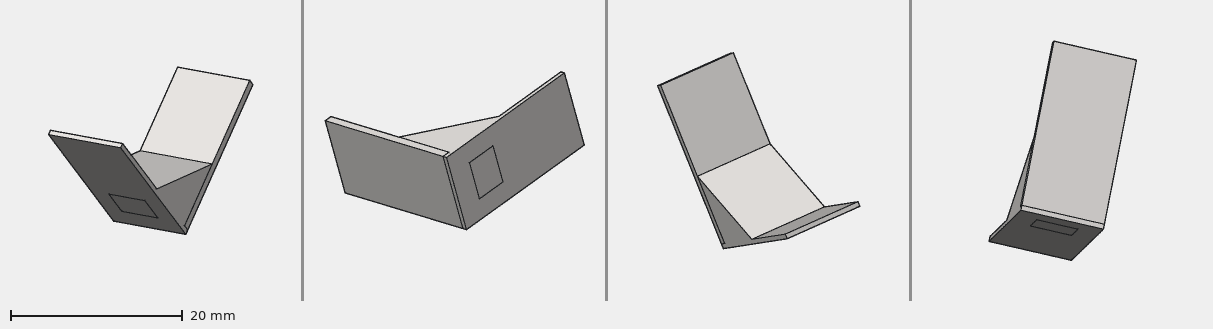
import cadquery as cq
import math

WIDTH = 10.0
SPAN = 28.7

THIN_PLATE = 0.6
THICK_PLATE = 1.0
PLATE_LENGTH = (SPAN * math.sqrt(2) - THIN_PLATE) / 2
WEDGE_LEG = 8.5

INSERT_WIDTH = WIDTH / 2
INSERT_LENGTH = 4.0
INSERT_START = 3.05
INSERT_DEPTH = THIN_PLATE

SECTION = cq.Plane(origin=(0, 0, 0), xDir=(0, -1, 1), normal=(-1, 0, 0))


def section_block(start_x, start_y, length_x, length_y, width):
    """Block with a rectangular section, centred across the width."""
    return (
        cq.Workplane(SECTION)
        .moveTo(start_x, start_y)
        .rect(length_x, length_y, centered=False)
        .extrude(width / 2, both=True)
    )


def make_insert():
    return section_block(INSERT_START, 0, INSERT_LENGTH, INSERT_DEPTH, INSERT_WIDTH)


def make_base():
    """Thin plate with a level-topped wedge, recessed for the insert."""
    profile = [
        (0, 0),
        (PLATE_LENGTH, 0),
        (PLATE_LENGTH, THIN_PLATE),
        (THICK_PLATE + WEDGE_LEG, THIN_PLATE),
        (THICK_PLATE, THIN_PLATE + WEDGE_LEG),
        (THICK_PLATE, THIN_PLATE),
        (0, THIN_PLATE),
    ]
    body = cq.Workplane(SECTION).polyline(profile).close().extrude(WIDTH / 2, both=True)
    return body.cut(make_insert())


def make_back_plate():
    """Thick plate standing on the end of the thin plate, against the wedge."""
    return section_block(0, THIN_PLATE, THICK_PLATE, PLATE_LENGTH, WIDTH)


base = make_base()
back_plate = make_back_plate()
insert = make_insert()

result = cq.Compound.makeCompound([base.val(), back_plate.val(), insert.val()])